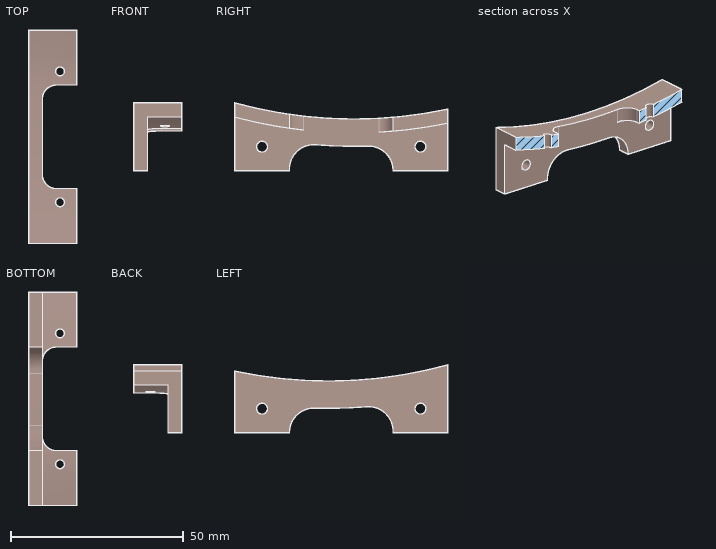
import cadquery as cq
import math

length = 61.9
depth = 14.0
height = 19.8
wall_thickness = 4.0
flange_thickness = 4.0

saddle_radius = 129.95
saddle_center_y = 3.7
bridge_height = 8.0

opening_width = 29.95
window_corner_radius = 7.0
flange_corner_radius = 4.0

wall_hole_diameter = 3.1
wall_hole_spacing = 45.9
wall_hole_z = 7.05
flange_hole_diameter = 2.5
flange_hole_spacing = 37.95
flange_hole_x = 9.1

half_length = length / 2
half_opening = opening_width / 2
saddle_center_z = height + math.sqrt(saddle_radius**2 - (half_length + saddle_center_y) ** 2)
underside_radius = saddle_radius + flange_thickness
window_radius = saddle_radius + bridge_height


def arc_point(radius, y):
    """Point at position y on the lower half of a circle about the saddle axis."""
    return (y, saddle_center_z - math.sqrt(radius**2 - (y - saddle_center_y) ** 2))


def below_arc(radius, y_min, y_max, x_length):
    """Solid from the base plane up to an arc about the saddle axis."""
    return (
        cq.Workplane("YZ")
        .moveTo(y_min, 0)
        .lineTo(*arc_point(radius, y_min))
        .threePointArc(arc_point(radius, (y_min + y_max) / 2), arc_point(radius, y_max))
        .lineTo(y_max, 0)
        .close()
        .extrude(x_length)
    )


def make_wall():
    """Upright plate with a round-cornered window open at the bottom."""
    window = below_arc(window_radius, -half_opening, half_opening, wall_thickness)
    window = window.edges("|X").edges("not <Z").fillet(window_corner_radius)
    wall = below_arc(saddle_radius, -half_length, half_length, wall_thickness).cut(window)
    holes = (
        cq.Workplane("YZ")
        .pushPoints([(side * wall_hole_spacing / 2, wall_hole_z) for side in (-1, 1)])
        .circle(wall_hole_diameter / 2)
        .extrude(wall_thickness)
    )
    return wall.cut(holes)


def make_flange():
    """Curved shelf following the saddle, split by a round-cornered opening."""
    shelf = below_arc(saddle_radius, -half_length, half_length, depth)
    shelf = shelf.cut(below_arc(underside_radius, -half_length, half_length, depth))
    opening = (
        cq.Workplane("XY")
        .box(depth - wall_thickness, opening_width, height, centered=(False, True, False))
        .translate((wall_thickness, 0, 0))
        .edges("|Z and <X")
        .fillet(flange_corner_radius)
    )
    holes = (
        cq.Workplane("XY")
        .pushPoints([(flange_hole_x, side * flange_hole_spacing / 2) for side in (-1, 1)])
        .circle(flange_hole_diameter / 2)
        .extrude(height)
    )
    return shelf.cut(opening).cut(holes)


result = make_wall().union(make_flange())